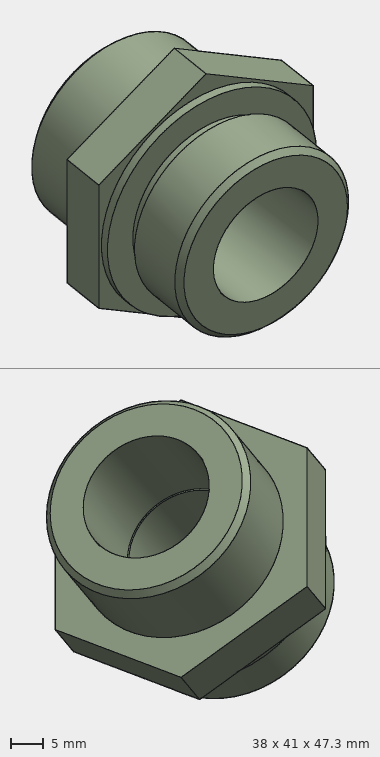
import cadquery as cq
import math

hex_start = 15.0
hex_end = 23.0
collar_end = 24.5
neck_end = 26.0
total_length = 38.0

spigot_diameter = 33.25
collar_diameter = 40.0
neck_diameter = 30.29
hex_across_flats = 41.0
hex_sides = 6
end_chamfer = 1.0
neck_flank_angle = 30.0

rear_bore_diameter = 20.5
front_bore_diameter = 20.0
rear_bore_depth = total_length / 2


def cylinder(diameter, start, end):
    """Solid cylinder on the X axis between two axial stations."""
    return cq.Workplane("YZ", origin=(start, 0, 0)).circle(diameter / 2).extrude(end - start)


def hexagon():
    """Hexagonal wrench section with flats on +/-Y and corners on +/-Z."""
    corner_diameter = hex_across_flats / math.cos(math.pi / hex_sides)
    return (
        cq.Workplane("YZ", origin=(hex_start, 0, 0))
        .transformed(rotate=(0, 0, 90))
        .polygon(hex_sides, corner_diameter)
        .extrude(hex_end - hex_start)
    )


def rear_spigot():
    """Cylinder behind the hexagon with a chamfered free end."""
    return cylinder(spigot_diameter, 0, hex_start).faces("<X").chamfer(end_chamfer)


def front_spigot():
    """Cylinder ahead of the neck: conical flank at the neck, chamfer at the free end."""
    spigot_radius = spigot_diameter / 2
    neck_radius = neck_diameter / 2
    flank_length = (spigot_radius - neck_radius) * math.tan(math.radians(neck_flank_angle))
    return (
        cq.Workplane("XY")
        .moveTo(neck_end, 0)
        .lineTo(neck_end, neck_radius)
        .lineTo(neck_end + flank_length, spigot_radius)
        .lineTo(total_length - end_chamfer, spigot_radius)
        .lineTo(total_length, spigot_radius - end_chamfer)
        .lineTo(total_length, 0)
        .close()
        .revolve(360, (0, 0, 0), (1, 0, 0))
    )


def stepped_bore():
    """Cutter for the through bore."""
    rear_bore = cylinder(rear_bore_diameter, 0, rear_bore_depth)
    front_bore = cylinder(front_bore_diameter, rear_bore_depth, total_length)
    return rear_bore.union(front_bore)


collar = cylinder(collar_diameter, hex_end, collar_end)
neck = cylinder(neck_diameter, collar_end, neck_end)

body = rear_spigot().union(hexagon()).union(collar).union(neck).union(front_spigot())
result = body.cut(stepped_bore())